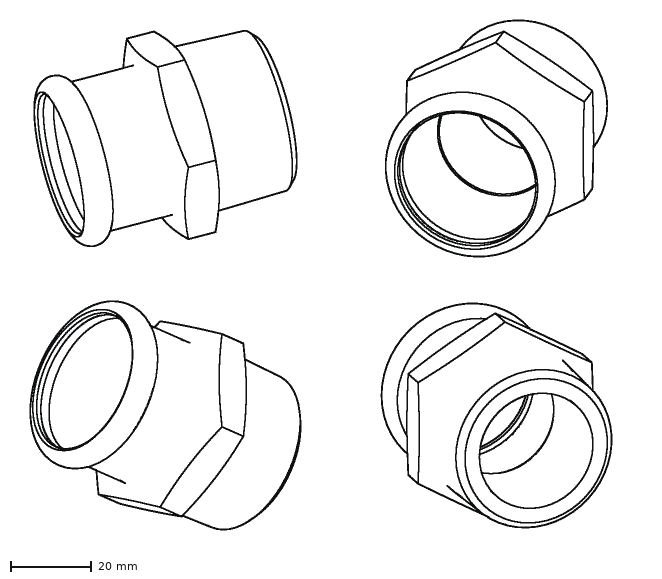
import cadquery as cq
import math

total_length = 56.0

hex_flats = 46.0
hex_start = 25.0
hex_end = 34.05
hex_chamfer_angle = 15.0
hex_corner_radius = hex_flats / 2 / math.cos(math.radians(30))

tube_radius = 38.4 / 2
bead_radius = 43.7 / 2
bead_width = 7.4

thread_base_radius = 42.4 / 2
thread_taper_start = 35.45
thread_chamfer = 1.8
thread_taper = 1 / 16
thread_chamfer_start = total_length - thread_chamfer
thread_tip_radius = thread_base_radius - (thread_chamfer_start - thread_taper_start) * thread_taper / 2
root_fillet = 0.35

mouth_radius = 35.8 / 2
mouth_fillet = 0.7
seal_groove_start = 2.1
seal_groove_end = 4.8
seal_groove_depth = 0.7
mouth_end = 6.65
socket_radius = 35.4 / 2
socket_start = bead_width
socket_floor = 26.9
socket_floor_fillet = 0.5
through_radius = 30.0 / 2
through_chamfer = 0.35


def revolve_about_y(profile):
    return profile.close().revolve(360, (0, 0, 0), (0, 1, 0))


def outer_body():
    """Bead, press tube and thread as one turned solid; the hexagon covers its middle."""
    profile = (
        cq.Workplane("XY")
        .lineTo(mouth_radius + mouth_fillet, 0)
        .threePointArc((bead_radius, bead_width / 2), (tube_radius, bead_width))
        .lineTo(tube_radius, hex_start - root_fillet)
        .radiusArc((tube_radius + root_fillet, hex_start), root_fillet)
        .lineTo(thread_base_radius + root_fillet, hex_start)
        .lineTo(thread_base_radius + root_fillet, hex_end)
        .radiusArc((thread_base_radius, hex_end + root_fillet), root_fillet)
        .lineTo(thread_base_radius, thread_taper_start)
        .lineTo(thread_tip_radius, thread_chamfer_start)
        .lineTo(thread_tip_radius - thread_chamfer, total_length)
        .lineTo(0, total_length)
    )
    return revolve_about_y(profile)


def hexagon():
    """Hexagonal prism whose corners are trimmed by a cone on each side."""
    prism = (
        cq.Workplane("XZ", origin=(0, hex_start, 0))
        .transformed(rotate=(0, 0, 90))
        .polygon(6, 2 * hex_corner_radius)
        .extrude(-(hex_end - hex_start))
    )
    flat_radius = hex_flats / 2
    cone_depth = (hex_corner_radius - flat_radius) * math.tan(math.radians(hex_chamfer_angle))
    envelope = (
        cq.Workplane("XY")
        .moveTo(0, hex_start)
        .lineTo(flat_radius, hex_start)
        .lineTo(hex_corner_radius, hex_start + cone_depth)
        .lineTo(hex_corner_radius, hex_end - cone_depth)
        .lineTo(flat_radius, hex_end)
        .lineTo(0, hex_end)
    )
    return prism.intersect(revolve_about_y(envelope))


def inner_cavity():
    """Rounded mouth with seal groove, press socket and through bore."""
    groove_middle = (seal_groove_start + seal_groove_end) / 2
    profile = (
        cq.Workplane("XY")
        .lineTo(mouth_radius + mouth_fillet, 0)
        .radiusArc((mouth_radius, mouth_fillet), -mouth_fillet)
        .lineTo(mouth_radius, seal_groove_start)
        .threePointArc((mouth_radius + seal_groove_depth, groove_middle), (mouth_radius, seal_groove_end))
        .lineTo(mouth_radius, mouth_end)
        .lineTo(socket_radius, socket_start)
        .lineTo(socket_radius, socket_floor - socket_floor_fillet)
        .radiusArc((socket_radius - socket_floor_fillet, socket_floor), -socket_floor_fillet)
        .lineTo(through_radius + through_chamfer, socket_floor)
        .lineTo(through_radius, socket_floor + through_chamfer)
        .lineTo(through_radius, total_length)
        .lineTo(0, total_length)
    )
    return revolve_about_y(profile)


result = outer_body().union(hexagon()).cut(inner_cavity())